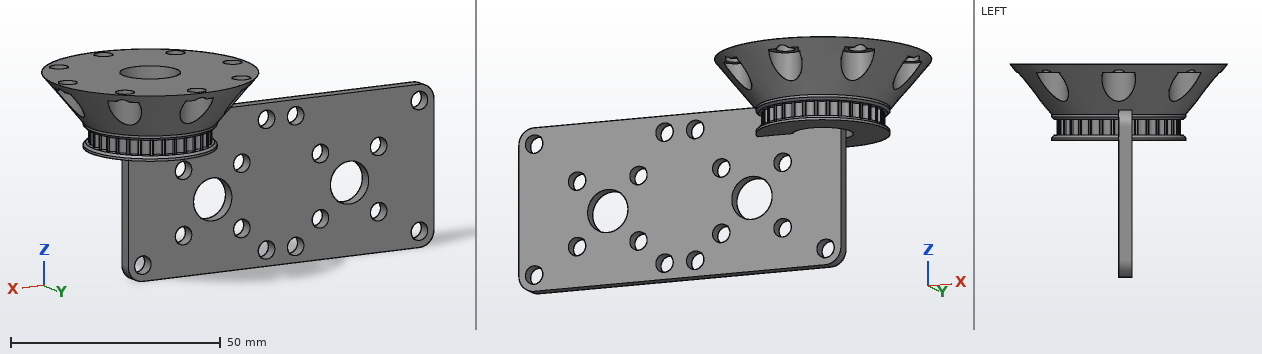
import cadquery as cq
import math

plate_length = 84.0
plate_height = 40.0
plate_thickness = 3.175
plate_corner_radius = 4.0
screw_hole_diameter = 4.5
edge_inset = 4.0
inner_column_spacing = 8.0
motor_hole_diameter = 10.5
motor_hole_offset = 18.8
motor_hole_height = 18.0
motor_screw_square = 16.0

pulley_axis_x = 78.0
pulley_top = 51.0
pulley_height = 18.2
bore_diameter = 14.5
rim_diameter = 52.0
cone_height = 12.0
flange_diameter = 32.1
flange_lip = 0.6
flange_taper = 0.6
flange_shoulder_diameter = 30.9
tooth_count = 32
tooth_tip_diameter = 29.6
groove_width = 2.0
groove_floor_width = 0.4
tooth_tip_radius = 0.2

rim_screw_count = 8
rim_screw_circle = 45.26
head_pocket_diameter = 8.0
rim_screw_depth = 2.0

pulley_bottom = pulley_top - pulley_height
cone_bottom = pulley_top - cone_height
upper_flange_bottom = cone_bottom - flange_lip - flange_taper
lower_flange_top = pulley_bottom + flange_lip + flange_taper


def make_plate_blank():
    """Plate with rounded corners and no holes."""
    return (
        cq.Workplane("XY")
        .box(plate_length, plate_thickness, plate_height, centered=False)
        .translate((0, -plate_thickness, 0))
        .edges("|Y")
        .fillet(plate_corner_radius)
    )


def drill_plate(plate, points, diameter):
    """Drill holes through the plate at (x, z) points."""
    drills = (
        cq.Workplane("XZ")
        .pushPoints(points)
        .circle(diameter / 2)
        .extrude(plate_thickness)
    )
    return plate.cut(drills)


def make_plate():
    """Plate with its edge screw holes and two motor hole patterns."""
    middle = plate_length / 2
    edge_columns = [
        edge_inset,
        middle - inner_column_spacing / 2,
        middle + inner_column_spacing / 2,
        plate_length - edge_inset,
    ]
    edge_rows = [edge_inset, plate_height - edge_inset]
    screw_points = [(x, z) for x in edge_columns for z in edge_rows]

    motor_points = [(middle + side * motor_hole_offset, motor_hole_height) for side in (-1, 1)]
    half_square = motor_screw_square / 2
    for x, z in motor_points:
        for side in (-1, 1):
            for level in (-1, 1):
                screw_points.append((x + side * half_square, z + level * half_square))

    plate = drill_plate(make_plate_blank(), screw_points, screw_hole_diameter)
    return drill_plate(plate, motor_points, motor_hole_diameter)


def make_pulley_blank():
    """Conical rim, two flanges and the plain tooth band, turned in one profile."""
    rim_radius = rim_diameter / 2
    flange_radius = flange_diameter / 2
    shoulder_radius = flange_shoulder_diameter / 2
    tip_radius = tooth_tip_diameter / 2
    bore_radius = bore_diameter / 2
    profile = [
        (bore_radius, pulley_bottom),
        (flange_radius, pulley_bottom),
        (flange_radius, pulley_bottom + flange_lip),
        (shoulder_radius, lower_flange_top),
        (tip_radius, lower_flange_top),
        (tip_radius, upper_flange_bottom),
        (shoulder_radius, upper_flange_bottom),
        (flange_radius, cone_bottom - flange_lip),
        (flange_radius, cone_bottom),
        (rim_radius, pulley_top),
        (bore_radius, pulley_top),
    ]
    return (
        cq.Workplane("XZ")
        .polyline(profile)
        .close()
        .revolve(360, (0, 0, 0), (0, 1, 0))
        .translate((pulley_axis_x, 0, 0))
    )


def make_groove_cutter():
    """One belt groove on the +X side: narrow flat floor, arc walls and a rounded mouth."""
    tip_radius = tooth_tip_diameter / 2
    half_width = groove_width / 2
    half_mouth = half_width + tooth_tip_radius
    half_floor = groove_floor_width / 2
    wall_radius = half_width - half_floor
    mouth_x = math.sqrt(tip_radius**2 - half_mouth**2)
    outer_x = flange_shoulder_diameter / 2
    wall_top_x = mouth_x - tooth_tip_radius
    floor_x = wall_top_x - wall_radius
    return (
        cq.Workplane("XY", origin=(0, 0, lower_flange_top))
        .moveTo(outer_x, half_mouth)
        .lineTo(mouth_x, half_mouth)
        .radiusArc((wall_top_x, half_width), -tooth_tip_radius)
        .radiusArc((floor_x, half_floor), -wall_radius)
        .lineTo(floor_x, -half_floor)
        .radiusArc((wall_top_x, -half_width), -wall_radius)
        .radiusArc((mouth_x, -half_mouth), -tooth_tip_radius)
        .lineTo(outer_x, -half_mouth)
        .close()
        .extrude(upper_flange_bottom - lower_flange_top)
    )


def cut_tooth_grooves(pulley):
    """Cut the straight belt grooves evenly around the band between the flanges."""
    cutter = make_groove_cutter()
    tooth_pitch_angle = 360 / tooth_count
    grooves = [
        cutter.rotate((0, 0, 0), (0, 0, 1), index * tooth_pitch_angle)
        .translate((pulley_axis_x, 0, 0))
        .val()
        for index in range(tooth_count)
    ]
    return pulley.cut(cq.Workplane(cq.Compound.makeCompound(grooves)))


def cut_rim_screws(pulley):
    """Cut the rim screw holes and the wider head pockets below them."""
    circle_radius = rim_screw_circle / 2
    holes = (
        cq.Workplane("XY", origin=(pulley_axis_x, 0, pulley_top))
        .polarArray(circle_radius, 0, 360, rim_screw_count)
        .circle(screw_hole_diameter / 2)
        .extrude(-cone_height)
    )
    pockets = (
        cq.Workplane("XY", origin=(pulley_axis_x, 0, pulley_top - rim_screw_depth))
        .polarArray(circle_radius, 0, 360, rim_screw_count)
        .circle(head_pocket_diameter / 2)
        .extrude(rim_screw_depth - cone_height)
    )
    return pulley.cut(holes).cut(pockets)


def make_pulley():
    """Pulley with a slot in which the upper end of the plate sits."""
    pulley = cut_rim_screws(cut_tooth_grooves(make_pulley_blank()))
    return pulley.cut(make_plate_blank())


plate = make_plate()
pulley = make_pulley()

result = cq.Compound.makeCompound([plate.val(), pulley.val()])